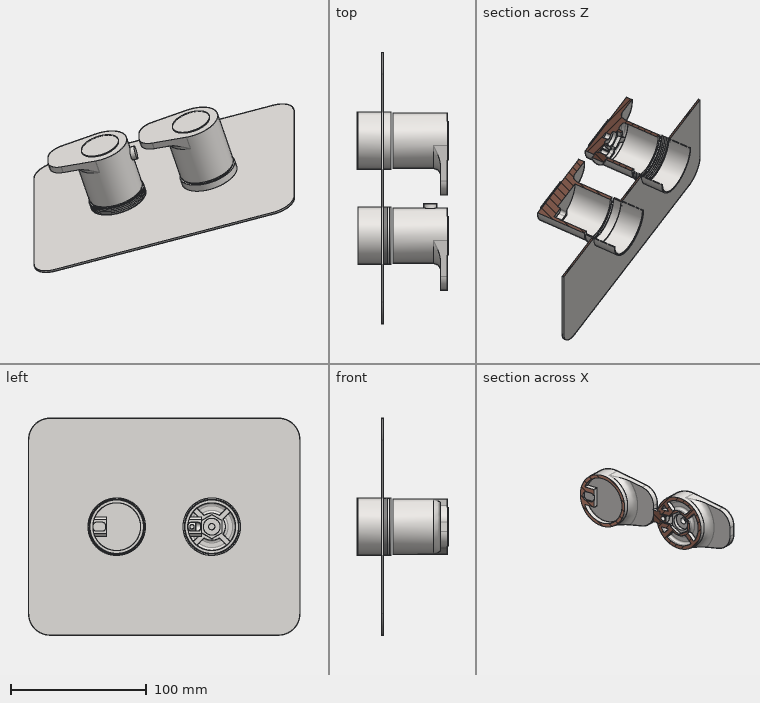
import cadquery as cq
import math

plate_width = 200.0
plate_height = 160.0
plate_thickness = 1.5
plate_corner_radius = 16.0
plate_back_x = 18.0

axis_offset = 35.0

sleeve_diameter = 42.5
sleeve_bore = 40.5
sleeve_start_x = 0.5
sleeve_end_x = 25.0
ledge_x = 18.5
ledge_bore = 39.5
lip_length = 0.5
lip_bore = 42.0
thread_root_diameter = 42.0
thread_count = 4

knob_diameter = 41.0
knob_start_x = 26.5
knob_end_x = 66.5
knob_bore = 35.2
plain_bore_depth = 30.0
spoked_bore_depth = 25.5

lever_thickness = 5.0
lever_reach = 40.2
lever_tip_half_width = 3.5
lever_corner_radius = 12.5
lever_taper_angle = 9.7
lever_flare_radius = 5.2

boss_height = 14.5
boss_inner_y = 7.5
boss_chamfer = 2.0
boss_start_x = 48.8
window_width = 6.5
window_length = 9.2
window_inner_y = 8.2
window_corner_radius = 2.5

groove_inner_diameter = 20.0
groove_outer_diameter = 34.8
groove_depth = 4.0
groove_floor_radius = 2.0
spoke_width = 3.8
spoke_angles = (45, 135)
hex_flats = 15.5
hex_depth = 3.0
socket_diameter = 12.5
socket_depth = 6.0
screw_hole_diameter = 4.5
screw_hole_depth = 10.0

button_x = 53.8
button_diameter = 9.8
button_height = 3.2
button_head_length = 6.0
pin_diameter = 6.2
pin_end_y = 11.5
pin_chamfer = 0.5
cross_hole_diameter = 3.2
cross_hole_y = 14.5

cap_diameter = 28.5
cap_thickness = 0.8

knob_radius = knob_diameter / 2
spoked_floor_x = knob_start_x + spoked_bore_depth
button_top_y = knob_radius + button_height


def axial_cylinder(diameter, start_x, length):
    return cq.Workplane("YZ", origin=(start_x, 0, 0)).circle(diameter / 2).extrude(length)


def radial_cylinder(diameter, start_y, end_y):
    plane = cq.Workplane("XZ", origin=(button_x, end_y, 0))
    return plane.circle(diameter / 2).extrude(end_y - start_y)


def revolved(profile):
    """Turn a profile drawn in (x, radius) coordinates about the knob axis."""
    return profile.close().revolve(360, (0, 0, 0), (1, 0, 0))


def make_plate():
    blank = cq.Workplane("YZ", origin=(plate_back_x, 0, 0)).rect(plate_width, plate_height)
    plate = blank.extrude(plate_thickness).edges("|X").fillet(plate_corner_radius)
    for side in (-1, 1):
        hole = axial_cylinder(sleeve_diameter, plate_back_x, plate_thickness)
        plate = plate.cut(hole.translate((0, side * axis_offset, 0)))
    return plate


def sleeve_body():
    length = sleeve_end_x - sleeve_start_x
    body = axial_cylinder(sleeve_diameter, sleeve_start_x, length)
    body = body.cut(axial_cylinder(sleeve_bore, sleeve_start_x, ledge_x - sleeve_start_x))
    return body.cut(axial_cylinder(ledge_bore, ledge_x, sleeve_end_x - ledge_x))


def make_lipped_sleeve():
    lip_start_x = sleeve_start_x - lip_length
    lip = axial_cylinder(sleeve_diameter, lip_start_x, lip_length)
    lip = lip.cut(axial_cylinder(lip_bore, lip_start_x, lip_length))
    return sleeve_body().union(lip)


def make_threaded_sleeve():
    """Sleeve whose narrow bore carries V-shaped ring grooves that stand for a thread."""
    sleeve = sleeve_body()
    pitch = (sleeve_end_x - ledge_x) / (thread_count + 1)
    crest_radius = ledge_bore / 2
    for i in range(thread_count):
        middle_x = ledge_x + (i + 1) * pitch
        groove = (
            cq.Workplane("XY")
            .moveTo(middle_x - pitch / 2, crest_radius)
            .lineTo(middle_x, thread_root_diameter / 2)
            .lineTo(middle_x + pitch / 2, crest_radius)
        )
        sleeve = sleeve.cut(revolved(groove))
    return sleeve


def lever_outline():
    """Round head with a tapered arm: straight sides tangent to the head, rounded corners, flat tip."""
    taper = math.radians(lever_taper_angle)
    middle = (taper + math.pi / 2) / 2
    corner_center_y = lever_corner_radius - lever_reach

    def corner_point(angle, side):
        return (
            corner_center_y - lever_corner_radius * math.sin(angle),
            side * (lever_tip_half_width + lever_corner_radius * math.cos(angle)),
        )

    def head_point(side):
        return (-knob_radius * math.sin(taper), side * knob_radius * math.cos(taper))

    return (
        cq.Workplane("YZ", origin=(knob_start_x, 0, 0))
        .moveTo(*head_point(1))
        .lineTo(*corner_point(taper, 1))
        .threePointArc(corner_point(middle, 1), (-lever_reach, lever_tip_half_width))
        .lineTo(-lever_reach, -lever_tip_half_width)
        .threePointArc(corner_point(middle, -1), corner_point(taper, -1))
        .lineTo(*head_point(-1))
        .threePointArc((knob_radius, 0), head_point(1))
        .close()
        .extrude(knob_end_x - knob_start_x)
    )


def lever_envelope():
    """Disc as thick as the lever, flaring with a hollow curve onto the knob wall."""
    back_x = knob_end_x - lever_thickness
    flare_start_x = back_x - lever_flare_radius
    flare_end_radius = knob_radius + lever_flare_radius
    bend = lever_flare_radius * math.sqrt(0.5)
    outer_radius = lever_reach + 2
    profile = (
        cq.Workplane("XY")
        .moveTo(flare_start_x, 0)
        .lineTo(flare_start_x, knob_radius)
        .threePointArc((flare_start_x + bend, flare_end_radius - bend), (back_x, flare_end_radius))
        .lineTo(back_x, outer_radius)
        .lineTo(knob_end_x, outer_radius)
        .lineTo(knob_end_x, 0)
    )
    return revolved(profile)


def boss_block():
    block_length = knob_end_x - boss_start_x
    block_width = knob_radius - boss_inner_y
    block = (
        cq.Workplane("YZ", origin=(boss_start_x, boss_inner_y + block_width / 2, 0))
        .rect(block_width, boss_height)
        .extrude(block_length)
    )
    return block.faces("<X").edges("|Y").chamfer(boss_chamfer)


def boss_window():
    plane = cq.Workplane("YZ", origin=(boss_start_x, window_inner_y + window_length / 2, 0))
    window = plane.rect(window_length, window_width).extrude(button_x - boss_start_x)
    return window.edges("|X").fillet(window_corner_radius)


def knob_body(bore_depth):
    body = axial_cylinder(knob_diameter, knob_start_x, knob_end_x - knob_start_x)
    body = body.union(lever_outline().intersect(lever_envelope()))
    bore = axial_cylinder(knob_bore, knob_start_x, bore_depth)
    return body.cut(bore.cut(boss_block())).cut(boss_window())


def spoke_pockets():
    """Ring groove with a rounded floor, left standing at the boss and at four spokes."""
    ring = axial_cylinder(groove_outer_diameter, spoked_floor_x, groove_depth)
    ring = ring.cut(axial_cylinder(groove_inner_diameter, spoked_floor_x, groove_depth))
    ring = ring.faces(">X").edges().fillet(groove_floor_radius)
    for angle in spoke_angles:
        plane = cq.Workplane("YZ", origin=(spoked_floor_x, 0, 0))
        spoke = plane.rect(knob_diameter, spoke_width).extrude(groove_depth)
        ring = ring.cut(spoke.rotate((0, 0, 0), (1, 0, 0), angle))
    return ring.cut(boss_block())


def spindle_socket():
    """Hexagon with corners up and down, then a round socket and a screw hole."""
    plane = cq.Workplane("YZ", origin=(spoked_floor_x, 0, 0))
    hexagon = plane.polygon(6, hex_flats / math.cos(math.pi / 6)).extrude(hex_depth)
    hexagon = hexagon.rotate((0, 0, 0), (1, 0, 0), 30)
    socket = axial_cylinder(socket_diameter, spoked_floor_x, socket_depth)
    screw_hole = axial_cylinder(screw_hole_diameter, spoked_floor_x, screw_hole_depth)
    return hexagon.union(socket).union(screw_hole)


def button_hole():
    head = radial_cylinder(button_diameter, button_top_y - button_head_length, button_top_y)
    pin = radial_cylinder(pin_diameter, window_inner_y, button_top_y)
    return head.union(pin)


def make_plain_knob():
    return knob_body(plain_bore_depth)


def make_stop_knob():
    knob = knob_body(spoked_bore_depth).cut(spoke_pockets())
    return knob.cut(spindle_socket()).cut(button_hole())


def make_button():
    head = radial_cylinder(button_diameter, button_top_y - button_head_length, button_top_y)
    pin = radial_cylinder(pin_diameter, pin_end_y, button_top_y).faces("<Y").chamfer(pin_chamfer)
    cross_hole = axial_cylinder(cross_hole_diameter, button_x - pin_diameter, 2 * pin_diameter)
    return head.union(pin).cut(cross_hole.translate((0, cross_hole_y, 0)))


def make_cap():
    return axial_cylinder(cap_diameter, knob_end_x, cap_thickness)


def on_axis(body, side):
    return body.translate((0, side * axis_offset, 0)).val()


plate = make_plate().val()
sleeves = [on_axis(make_lipped_sleeve(), 1), on_axis(make_threaded_sleeve(), -1)]
knobs = [on_axis(make_plain_knob(), 1), on_axis(make_stop_knob(), -1)]
button = on_axis(make_button(), -1)
caps = [on_axis(make_cap(), side) for side in (1, -1)]

result = cq.Compound.makeCompound([plate, *sleeves, *knobs, button, *caps])